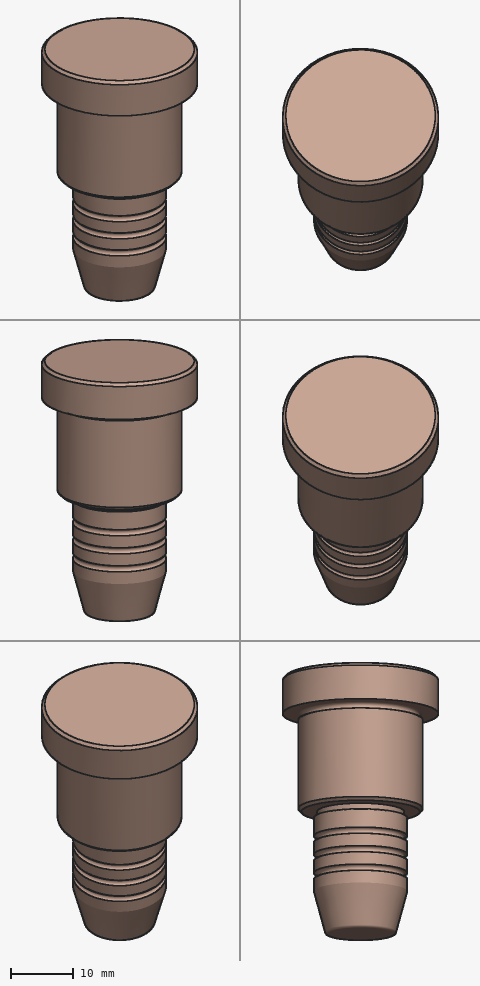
import cadquery as cq
import math

total_height = 42.0

head_diameter = 25.0
head_height = 6.0
edge_chamfer = 0.5

body_diameter = 20.0
body_height = 16.0

stem_diameter = 15.0
groove_width = 1.0
groove_radius = groove_width / 2
neck_height = groove_width
neck_diameter = stem_diameter - groove_width
first_ring_height = 3.0
ring_height = 2.0
groove_count = 3

taper_angle = 15.0
tip_fillet = 0.5

head_bottom = total_height - head_height
body_bottom = head_bottom - body_height
stem_top = body_bottom - neck_height
first_groove_top = stem_top - first_ring_height
groove_pitch = groove_width + ring_height
taper_height = first_groove_top - groove_count * groove_pitch


def cylinder(diameter, bottom, top):
    """Cylinder on the Z axis between two levels."""
    return cq.Workplane("XY").workplane(offset=bottom).circle(diameter / 2).extrude(top - bottom)


def round_groove(surface_diameter, top):
    """Ring of circular section, centred on the surface it cuts into."""
    return (
        cq.Workplane("XZ")
        .center(surface_diameter / 2, top - groove_radius)
        .circle(groove_radius)
        .revolve(360, (-surface_diameter / 2, 0), (-surface_diameter / 2, 1))
    )


def make_head():
    return cylinder(head_diameter, head_bottom, total_height).faces(">Z").edges().chamfer(edge_chamfer)


def make_body():
    """Body with a chamfered lower edge and an undercut below the head."""
    body = cylinder(body_diameter, body_bottom, head_bottom).faces("<Z").edges().chamfer(edge_chamfer)
    return body.cut(round_groove(body_diameter, head_bottom))


def make_stem():
    """Neck and grooved rings."""
    neck = cylinder(neck_diameter, stem_top, body_bottom)
    stem = cylinder(stem_diameter, taper_height, stem_top).union(neck)
    for index in range(groove_count):
        stem = stem.cut(round_groove(stem_diameter, first_groove_top - index * groove_pitch))
    return stem


def make_tip():
    """Cone narrowing downwards to a rounded end."""
    stem_radius = stem_diameter / 2
    end_radius = stem_radius - taper_height * math.tan(math.radians(taper_angle))
    cone = (
        cq.Workplane("XZ")
        .polyline([(0, 0), (end_radius, 0), (stem_radius, taper_height), (0, taper_height)])
        .close()
        .revolve(360, (0, 0), (0, 1))
    )
    return cone.faces("<Z").edges().fillet(tip_fillet)


result = make_head().union(make_body()).union(make_stem()).union(make_tip())